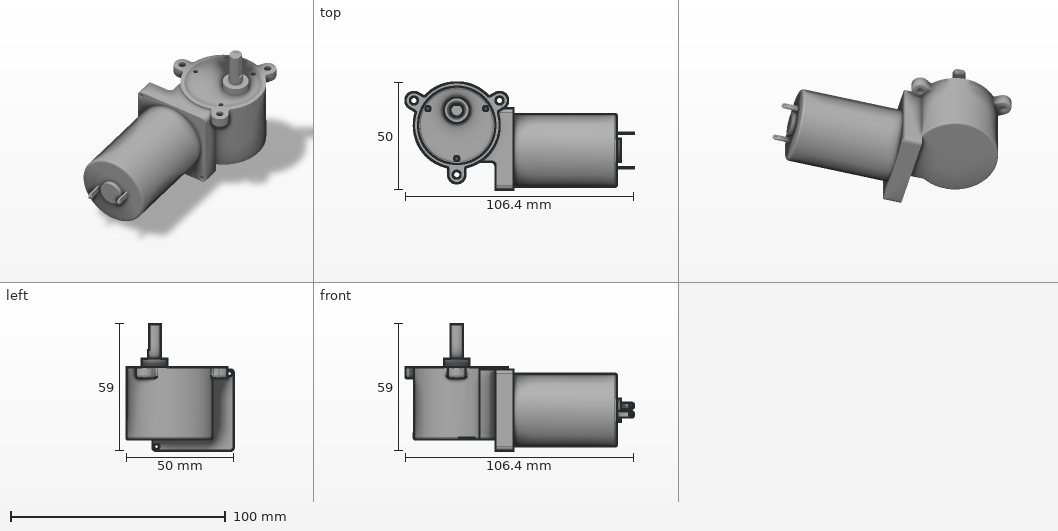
import cadquery as cq
import math


BODY_RADIUS = 20.0
BODY_HEIGHT = 33.7
BOTTOM_FILLET = 1.0

RECESS_DEPTH = 0.7
RECESS_RIM_DIAMETER = 36.0
COVER_DIAMETER = 34.0
COVER_SCREW_DIAMETER = 2.4
COVER_SCREW_RADIUS = 15.5
COVER_SCREW_DEPTH = 2.0

LUG_ANGLES = (30, 150, 270)
LUG_CENTER_RADIUS = 23.0
LUG_RADIUS = 4.0
LUG_THICKNESS = 5.2
LUG_HOLE_DIAMETER = 3.5
LUG_FILLET = 1.0

SHAFT_Y = 7.0
SHAFT_DIAMETER = 6.0
SHAFT_TOP = 20.0
FLAT_START = 8.0
FLAT_OFFSET = 2.5
HUB_DIAMETER = 12.0
HUB_TOP = 4.0
HUB_FOOT_FILLET = 1.0

PLATE_SIZE = 38.0
PLATE_X = 18.0
PLATE_THICKNESS = 8.5
PLATE_Y_MAX = 8.0
PLATE_TOP = -1.0
PLATE_CORNER_RADIUS = 2.0
PLATE_HOLE_DIAMETER = 2.4

WEB_Y_MIN = -17.0
WEB_FILLET = 2.0

MOTOR_DIAMETER = 34.0
MOTOR_LENGTH = 48.0
MOTOR_EDGE_FILLET = 1.2
MOTOR_Y = -11.7
END_BOSS_DIAMETER = 11.0
END_BOSS_LENGTH = 2.0

TERMINAL_LENGTH = 8.0
TERMINAL_WIDTH = 3.0
TERMINAL_THICKNESS = 0.8
TERMINAL_HOLE_DIAMETER = 1.4
TERMINAL_Y_OFFSET = 8.0
TERMINAL_Z_OFFSET = 2.0

PLATE_Z = PLATE_TOP - PLATE_SIZE / 2
PLATE_Y = PLATE_Y_MAX - PLATE_SIZE / 2
MOTOR_X = PLATE_X + PLATE_THICKNESS
MOTOR_END_X = MOTOR_X + MOTOR_LENGTH
OVERLAP = 2.0


def cylinder_z(x, y, z_low, z_high, diameter):
    return cq.Workplane("XY", origin=(x, y, z_low)).circle(diameter / 2).extrude(z_high - z_low)


def cylinder_x(x_low, x_high, y, z, diameter):
    return cq.Workplane("YZ", origin=(x_low, y, z)).circle(diameter / 2).extrude(x_high - x_low)


def polar_point(radius, angle):
    return radius * math.cos(math.radians(angle)), radius * math.sin(math.radians(angle))


def make_web():
    """Block joining the gearbox to the plate, flared where it meets the plate."""
    arc_inset = WEB_FILLET * math.sqrt(0.5)
    flare_y = WEB_Y_MIN - WEB_FILLET
    web = (
        cq.Workplane("XY", origin=(0, 0, -BODY_HEIGHT))
        .moveTo(0, WEB_Y_MIN)
        .lineTo(PLATE_X - WEB_FILLET, WEB_Y_MIN)
        .threePointArc(
            (PLATE_X - WEB_FILLET + arc_inset, flare_y + arc_inset),
            (PLATE_X, flare_y),
        )
        .lineTo(PLATE_X, PLATE_Y_MAX)
        .lineTo(0, PLATE_Y_MAX)
        .close()
        .extrude(BODY_HEIGHT + PLATE_TOP)
    )
    web = web.faces(">Y").edges(">Z").fillet(PLATE_CORNER_RADIUS)
    return web.faces("<Z").edges("not |Y").fillet(BOTTOM_FILLET)


def make_housing():
    """Gearbox drum and web, both with a rounded bottom rim."""
    drum = cylinder_z(0, 0, -BODY_HEIGHT, 0, 2 * BODY_RADIUS)
    return drum.faces("<Z").edges().fillet(BOTTOM_FILLET).union(make_web())


def make_lug_ring():
    """Disc carrying the three mounting lugs, rounded at the necks and below."""
    ring = cylinder_z(0, 0, -LUG_THICKNESS, 0, 2 * BODY_RADIUS)
    for angle in LUG_ANGLES:
        arm = (
            cq.Workplane("XY", origin=(0, 0, -LUG_THICKNESS))
            .center(LUG_CENTER_RADIUS / 2, 0)
            .slot2D(LUG_CENTER_RADIUS + 2 * LUG_RADIUS, 2 * LUG_RADIUS)
            .extrude(LUG_THICKNESS)
            .rotate((0, 0, 0), (0, 0, 1), angle)
        )
        ring = ring.union(arm)
    neck_distance = math.sqrt(BODY_RADIUS**2 - LUG_RADIUS**2)
    for angle in LUG_ANGLES:
        for side in (-1, 1):
            neck_angle = angle + side * math.degrees(math.atan2(LUG_RADIUS, neck_distance))
            x, y = polar_point(BODY_RADIUS, neck_angle)
            neck_edge = cq.selectors.NearestToPointSelector((x, y, -LUG_THICKNESS / 2))
            ring = ring.edges("|Z").edges(neck_edge).fillet(LUG_FILLET)
    return ring.faces("<Z").edges().fillet(LUG_FILLET)


def cut_lug_holes(part):
    for angle in LUG_ANGLES:
        x, y = polar_point(LUG_CENTER_RADIUS, angle)
        part = part.cut(cylinder_z(x, y, -LUG_THICKNESS, 0, LUG_HOLE_DIAMETER))
    return part


def cut_cover(part):
    """Recess with a concave rounded wall, and the cover screw holes in its floor."""
    recess = (
        cq.Workplane("XZ")
        .moveTo(0, -RECESS_DEPTH)
        .lineTo(COVER_DIAMETER / 2, -RECESS_DEPTH)
        .tangentArcPoint((RECESS_RIM_DIAMETER / 2, 0), relative=False)
        .lineTo(0, 0)
        .close()
        .revolve(360, (0, 0, 0), (0, 1, 0))
    )
    part = part.cut(recess)
    for angle in LUG_ANGLES:
        x, y = polar_point(COVER_SCREW_RADIUS, angle)
        hole_bottom = -RECESS_DEPTH - COVER_SCREW_DEPTH
        part = part.cut(cylinder_z(x, y, hole_bottom, -RECESS_DEPTH, COVER_SCREW_DIAMETER))
    return part


def make_shaft():
    """Bearing hub with a filleted foot, and a shaft flattened on its +Y side."""
    floor = -RECESS_DEPTH
    hub_radius = HUB_DIAMETER / 2
    arc_inset = HUB_FOOT_FILLET * (1 - math.sqrt(0.5))
    hub = (
        cq.Workplane("XZ", origin=(0, SHAFT_Y, 0))
        .moveTo(0, floor - OVERLAP)
        .lineTo(hub_radius + HUB_FOOT_FILLET, floor - OVERLAP)
        .lineTo(hub_radius + HUB_FOOT_FILLET, floor)
        .threePointArc(
            (hub_radius + arc_inset, floor + arc_inset),
            (hub_radius, floor + HUB_FOOT_FILLET),
        )
        .lineTo(hub_radius, HUB_TOP)
        .lineTo(0, HUB_TOP)
        .close()
        .revolve(360, (0, 0, 0), (0, 1, 0))
    )
    shaft = cylinder_z(0, SHAFT_Y, HUB_TOP - OVERLAP, SHAFT_TOP, SHAFT_DIAMETER)
    flat = cq.Workplane("XY").box(
        SHAFT_DIAMETER, SHAFT_DIAMETER, SHAFT_TOP - FLAT_START, centered=(True, False, False)
    ).translate((0, SHAFT_Y + FLAT_OFFSET, FLAT_START))
    return hub.union(shaft.cut(flat))


def make_plate():
    """Square plate with rounded corners and two holes on one diagonal."""
    plate = (
        cq.Workplane("YZ", origin=(PLATE_X, PLATE_Y, PLATE_Z))
        .rect(PLATE_SIZE, PLATE_SIZE)
        .extrude(PLATE_THICKNESS)
        .edges("|X")
        .fillet(PLATE_CORNER_RADIUS)
    )
    hole_offset = PLATE_SIZE / 2 - PLATE_CORNER_RADIUS
    for side in (1, -1):
        y = PLATE_Y + side * hole_offset
        z = PLATE_Z - side * hole_offset
        plate = plate.cut(cylinder_x(PLATE_X, MOTOR_X, y, z, PLATE_HOLE_DIAMETER))
    return plate


def make_motor():
    can = cylinder_x(MOTOR_X - OVERLAP, MOTOR_END_X, MOTOR_Y, PLATE_Z, MOTOR_DIAMETER)
    can = can.faces(">X").edges().fillet(MOTOR_EDGE_FILLET)
    boss_end = MOTOR_END_X + END_BOSS_LENGTH
    boss = cylinder_x(MOTOR_END_X - OVERLAP, boss_end, MOTOR_Y, PLATE_Z, END_BOSS_DIAMETER)
    return can.union(boss)


def make_terminal(side):
    """Flat tab with a round, drilled tip; side +1 is the high +Y tab, -1 the low -Y tab."""
    y = MOTOR_Y + side * TERMINAL_Y_OFFSET
    z = PLATE_Z + side * TERMINAL_Z_OFFSET
    tip_x = MOTOR_END_X + TERMINAL_LENGTH - TERMINAL_WIDTH / 2
    tab_length = tip_x - MOTOR_END_X + OVERLAP
    workplane = cq.Workplane("XZ", origin=(tip_x, y + TERMINAL_THICKNESS / 2, z))
    tab = workplane.center(-tab_length / 2, 0).rect(tab_length, TERMINAL_WIDTH).extrude(TERMINAL_THICKNESS)
    tip = workplane.circle(TERMINAL_WIDTH / 2).extrude(TERMINAL_THICKNESS)
    hole = workplane.circle(TERMINAL_HOLE_DIAMETER / 2).extrude(TERMINAL_THICKNESS)
    return tab.union(tip).cut(hole)


gearbox = make_housing().union(make_plate()).union(make_lug_ring())
gearbox = cut_cover(cut_lug_holes(gearbox))
result = gearbox.union(make_shaft()).union(make_motor())
for terminal_side in (1, -1):
    result = result.union(make_terminal(terminal_side))